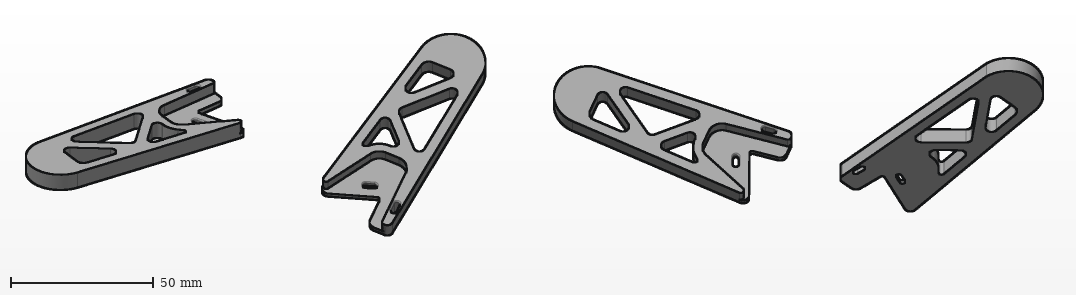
import cadquery as cq
import math

LENGTH = 85.04
THICKNESS = 6.4
FLOOR = 2.0

NOSE_HEIGHT = 11.0
RIGHT_SIDE_LEAN = 5.26
TIP = (30.72, 80.5)
NOTCH = (9.86, 72.35)
ARM_LEAN = 4.76
ARM_OUTER_RADIUS = 2.0
ARM_INNER_RADIUS = 2.5
NOTCH_RADIUS = 1.0
TIP_RADIUS = 2.2

ARM_RIM_WIDTH = 3.41
POCKET_BOTTOM = 57.12
POCKET_RIGHT_CORNER = 18.7
POCKET_RIGHT_LEAN = 25.4
POCKET_RADIUS = 5.0
ARM_RIM_RADIUS = 1.0
HORN_RIM_RADIUS = 1.12

WALL = 4.0
MAIN_WINDOW_TOP = 54.4
MAIN_WINDOW_BOTTOM = 17.95
MAIN_WINDOW_APEX = (20.0, 38.65)
LOWER_WINDOW_BOTTOM = 15.1
POCKET_WALL = 3.3
HOLLOW_EXIT_ANGLE = 45.0
WINDOW_RADIUS = 2.0
UPPER_WINDOW_TOP_RADIUS = 1.0
LOWER_WINDOW_TOP_RADIUS = 2.15
LOWER_WINDOW_HEEL_RADIUS = 3.0

SLOT_WIDTH = 2.0
SLOT_TRAVEL = 3.0
SLOT_EDGE_RADIUS = 0.5
ARM_SLOT_CENTER = (2.05, 76.6)
POCKET_SLOT_CENTER = (15.62, 69.42)


def lean_line(point, lean):
    """Line through a point, leaning from +Y towards +X by an angle in degrees."""
    angle = math.radians(lean)
    return point, (math.sin(angle), math.cos(angle))


def line_through(start, end):
    dx, dy = end[0] - start[0], end[1] - start[1]
    length = math.hypot(dx, dy)
    return start, (dx / length, dy / length)


def offset_right(line, distance):
    """Parallel line, moved to the right of the line's direction."""
    (x, y), (ux, uy) = line
    return (x + uy * distance, y - ux * distance), (ux, uy)


def at_height(line, y):
    (px, py), (ux, uy) = line
    return px + (y - py) * ux / uy, y


def crossing(first, second):
    (x1, y1), (ux, uy) = first
    (x2, y2), (vx, vy) = second
    travel = ((x2 - x1) * vy - (y2 - y1) * vx) / (ux * vy - uy * vx)
    return x1 + travel * ux, y1 + travel * uy


def prism(points):
    return cq.Workplane("XY").polyline(points).close().extrude(THICKNESS)


def round_corners(body, height, corners):
    """Fillet the upright edge at each (point, radius) pair."""
    for (x, y), radius in corners:
        nearest = cq.selectors.NearestToPointSelector((x, y, height / 2))
        body = body.edges("|Z").edges(nearest).fillet(radius)
    return body


def nosed_prism(points, height):
    """Prism whose outline runs through the points and closes with the nose arc."""
    nose_bottom = ((points[0][0] + points[-1][0]) / 2, 0)
    outline = cq.Workplane("XY").polyline(points)
    return outline.threePointArc(nose_bottom, points[0]).close().extrude(height)


nose_left = (0, NOSE_HEIGHT)
arm_left = (0, LENGTH)
right_side = lean_line(TIP, RIGHT_SIDE_LEAN)
nose_right = at_height(right_side, NOSE_HEIGHT)
arm_side = lean_line(NOTCH, -ARM_LEAN)
arm_rim_end = (ARM_RIM_WIDTH, LENGTH)
pocket_left = at_height(lean_line(arm_rim_end, -ARM_LEAN), POCKET_BOTTOM)
pocket_right = (POCKET_RIGHT_CORNER, POCKET_BOTTOM)
pocket_side = lean_line(pocket_right, POCKET_RIGHT_LEAN)


def make_floor():
    arm_right = at_height(arm_side, LENGTH)
    floor = nosed_prism([nose_left, arm_left, arm_right, NOTCH, TIP, nose_right], FLOOR)
    corners = [
        (arm_left, ARM_OUTER_RADIUS),
        (arm_right, ARM_INNER_RADIUS),
        (NOTCH, NOTCH_RADIUS),
        (TIP, TIP_RADIUS),
    ]
    return round_corners(floor, FLOOR, corners)


def make_raised_frame():
    """Full-height part of the plate, around the pocket."""
    rim_tip = crossing(pocket_side, right_side)
    points = [nose_left, arm_left, arm_rim_end, pocket_left, pocket_right, rim_tip, nose_right]
    corners = [
        (arm_left, ARM_OUTER_RADIUS),
        (arm_rim_end, ARM_RIM_RADIUS),
        (pocket_left, POCKET_RADIUS),
        (pocket_right, POCKET_RADIUS),
        (rim_tip, HORN_RIM_RADIUS),
    ]
    return round_corners(nosed_prism(points, THICKNESS), THICKNESS, corners)


main_top = (WALL, MAIN_WINDOW_TOP)
main_bottom = (WALL, MAIN_WINDOW_BOTTOM)
window_right_side = offset_right(right_side, -WALL)
upper_brace = offset_right(line_through(main_top, MAIN_WINDOW_APEX), -WALL)
lower_brace = offset_right(line_through(main_bottom, MAIN_WINDOW_APEX), WALL)


def make_main_window():
    points = [main_top, MAIN_WINDOW_APEX, main_bottom]
    return round_corners(prism(points), THICKNESS, [(point, WINDOW_RADIUS) for point in points])


def make_lower_window():
    top = crossing(lower_brace, window_right_side)
    heel = at_height(window_right_side, LOWER_WINDOW_BOTTOM)
    toe = at_height(lower_brace, LOWER_WINDOW_BOTTOM)
    corners = [
        (top, LOWER_WINDOW_TOP_RADIUS),
        (heel, LOWER_WINDOW_HEEL_RADIUS),
        (toe, WINDOW_RADIUS),
    ]
    return round_corners(prism([top, heel, toe]), THICKNESS, corners)


def make_upper_window():
    """Triangle whose top side starts level, bends around the pocket corner and rises straight."""
    corner_half_angle = math.radians(90 + POCKET_RIGHT_LEAN) / 2
    center_x = POCKET_RIGHT_CORNER - POCKET_RADIUS / math.tan(corner_half_angle)
    center_y = POCKET_BOTTOM + POCKET_RADIUS
    hollow_radius = POCKET_RADIUS + POCKET_WALL
    exit_angle = math.radians(HOLLOW_EXIT_ANGLE)

    def hollow_point(angle):
        return center_x + hollow_radius * math.sin(angle), center_y - hollow_radius * math.cos(angle)

    hollow_start = hollow_point(0)
    hollow_end = hollow_point(exit_angle)
    exit_line = hollow_end, (math.cos(exit_angle), math.sin(exit_angle))
    top_left = at_height(upper_brace, hollow_start[1])
    top_right = crossing(exit_line, window_right_side)
    bottom = crossing(upper_brace, window_right_side)
    outline = cq.Workplane("XY").moveTo(*top_left).lineTo(*hollow_start)
    outline = outline.threePointArc(hollow_point(exit_angle / 2), hollow_end)
    window = outline.lineTo(*top_right).lineTo(*bottom).close().extrude(THICKNESS)
    corners = [
        (top_left, WINDOW_RADIUS),
        (bottom, WINDOW_RADIUS),
        (top_right, UPPER_WINDOW_TOP_RADIUS),
    ]
    return round_corners(window, THICKNESS, corners)


def cut_slot(body, center, angle, top):
    """Cut a through slot and round its upper rim."""
    size = SLOT_TRAVEL + SLOT_WIDTH
    cutter = cq.Workplane("XY").center(*center).slot2D(size, SLOT_WIDTH, angle).extrude(top)
    body = body.cut(cutter)
    reach = size / 2 + SLOT_EDGE_RADIUS
    x, y = center
    rim_zone = cq.selectors.BoxSelector(
        (x - reach, y - reach, top - SLOT_EDGE_RADIUS / 2),
        (x + reach, y + reach, top + SLOT_EDGE_RADIUS / 2),
    )
    return body.edges(rim_zone).fillet(SLOT_EDGE_RADIUS)


plate = make_floor().union(make_raised_frame())
for window in (make_main_window(), make_lower_window(), make_upper_window()):
    plate = plate.cut(window)

horn_angle = math.degrees(math.atan2(TIP[1] - NOTCH[1], TIP[0] - NOTCH[0]))
plate = cut_slot(plate, POCKET_SLOT_CENTER, horn_angle, FLOOR)
result = cut_slot(plate, ARM_SLOT_CENTER, 90 + ARM_LEAN, THICKNESS)